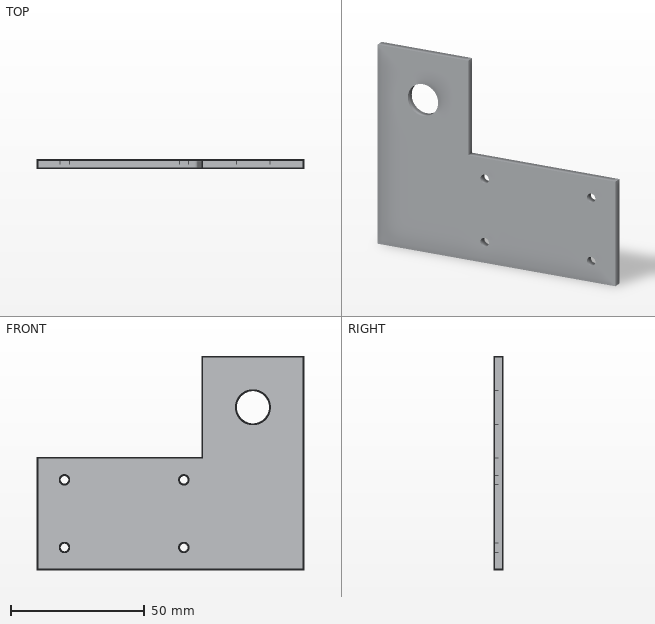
import cadquery as cq

length = 100.1
height = 80.1
thickness = 3.2

tab_width = 38.1
arm_height = 42.0
arm_length = length - tab_width

tab_hole_diameter = 12.7
tab_hole_x = length - tab_width / 2
tab_hole_z = height - tab_width / 2

mount_hole_diameter = 3.5
mount_hole_left = 10.2
mount_spacing_x = 44.8
mount_spacing_z = 25.4
mount_center = (mount_hole_left + mount_spacing_x / 2, arm_height / 2)


def make_plate():
    """L-shaped plate standing in XZ, with its front face at Y = 0."""
    outline = [
        (0, 0),
        (length, 0),
        (length, height),
        (arm_length, height),
        (arm_length, arm_height),
        (0, arm_height),
    ]
    return cq.Workplane("XZ").polyline(outline).close().extrude(-thickness)


def make_tab_hole():
    """Cutter through the full thickness for the large hole."""
    return (
        cq.Workplane("XZ")
        .center(tab_hole_x, tab_hole_z)
        .circle(tab_hole_diameter / 2)
        .extrude(-thickness)
    )


def make_mount_holes():
    """Cutters through the full thickness for the four mounting holes."""
    return (
        cq.Workplane("XZ")
        .center(*mount_center)
        .rect(mount_spacing_x, mount_spacing_z, forConstruction=True)
        .vertices()
        .circle(mount_hole_diameter / 2)
        .extrude(-thickness)
    )


result = make_plate().cut(make_tab_hole()).cut(make_mount_holes())